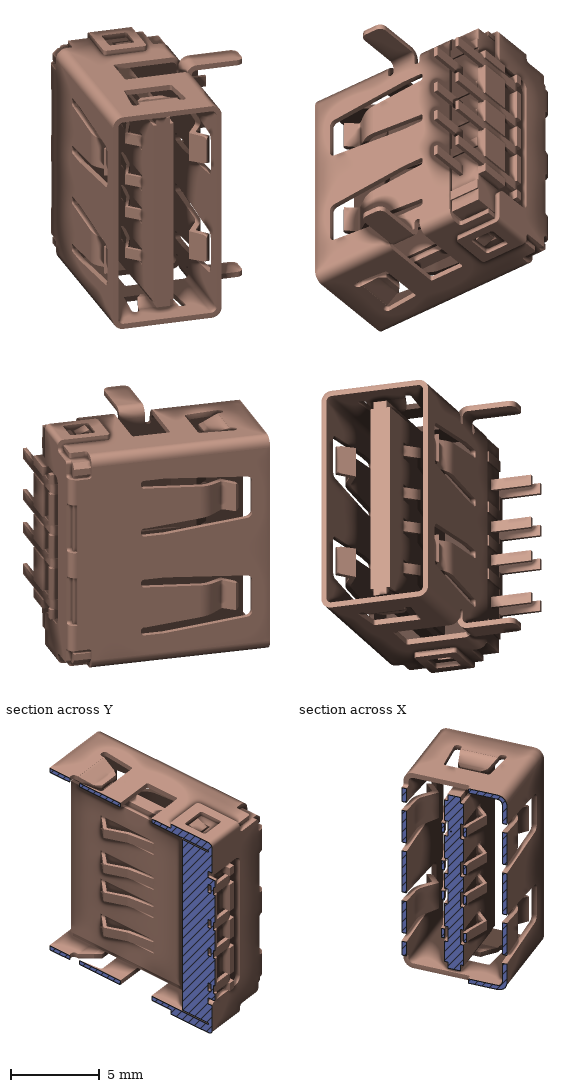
import cadquery as cq
import math

LENGTH = 12.0
HEIGHT = 9.5
WIDTH = 13.55
SHEET = 0.31

SHELL_TOP = 6.42
SHELL_HALF = WIDTH / 2 - SHEET
SHELL_START = 0.52
CORNER_R = 0.6
BOARD_NOTCH_END = 2.5
BOARD_NOTCH_Y = 5.43
SMALL_R = 0.12

RELIEF_END = 1.52
RELIEF_Y = 0.98
RELIEF_R = 0.18
RELIEF_HALF = 5.17

PLATE_REAR = 0.21
PLATE_HALF = 6.11
PLATE_BEND_R = 0.43
ARM_INNER_HALF = 4.49
ARM_BOTTOM = 2.27
ARM_TOP = 4.81
ARM_R = 0.42
FLAP_END = 3.28
FLAP_END_R = 0.18
FLAP_BEND_R = 0.3
PLATE_CORNER_Y = 0.63
PLATE_CORNER_HALF = 5.2
FLAP_NECK_R = 0.22
PLATE_CUT_R = 0.17
BEND_WINDOW_Z = (0.76, 3.66)
BEND_WINDOW_X = 0.70
BEND_WINDOW_Y = 0.53
FLAP_WINDOW_X = (1.1, 2.6)
FLAP_WINDOW_Y = (2.8, 4.3)
LATCH_HOLE_X = (1.56, 2.4)
LATCH_HOLE_Y = (3.28, 4.3)
WEDGE_X = (1.69, 2.36)
WEDGE_Y = (3.38, 4.15)
WEDGE_RISE = 0.28

TAB_WINDOW_X = (4.62, 6.85)
TAB_WINDOW_Y = 2.37
TAB_RELIEF_HALF = 5.85
TAB_X = (4.98, 6.48)
TAB_HALF = 6.625
TAB_RELIEF_R = 0.16
TAB_BEND_R = 0.6
TAB_END_R = 0.4

LANCE_SLOT_X = (8.34, 10.58)
LANCE_SLOT_HALF = (1.40, 1.61)
LANCE_MID_Y = 3.21
LANCE_HINGE_X = 10.23
LANCE_HINGE_R = 0.9
LANCE_BEND_R = 0.15
LANCE_SLOT_END_R = 0.2
LANCE_HINGE_HALF = 1.15
LANCE_BEND_X = 9.3
LANCE_BEND_HALF = 0.90
LANCE_TIP_X = 8.93
LANCE_TIP_HALF = 0.62
LANCE_DROP = 0.31

SPRING_Z = 3.0
SLOT_X = (4.41, 10.95)
SLOT_TAPER_X = 5.8
SLOT_HALF = (1.69, 1.23)
SLOT_END_R = 0.35
SLOT_LEG_R = 0.18
LEG_INNER_HALF = 1.21
LEG_TAPER_X = 4.75
LIP_HALF = 0.81
LIP_START_X = 9.37
LIP_END_X = 10.24
LIP_SHOULDER = 0.04
LIP_ANGLE = 43.0
CREST_R = 0.12
LIP_R = 0.2
SPRING_BEND_X = 7.9
SPRING_CURVE = 0.83
RAMP_ANGLE = 35.0

BASE_X = (0.52, 2.4)
BASE_TOP = 6.36
BASE_HALF = 6.09
BASE_EDGE_R = 0.15
STANDOFF_TOP = 6.46
STANDOFF_WIDTH = 0.62
STANDOFF_Z = (-5.0, -2.0, 0.0, 2.0, 5.0)
CORNER_BLOCK_Y = 0.1
CORNER_BLOCK_Z = 5.41
CORNER_CHAMFER = 0.3
COMB_Y = (4.57, 6.39)
COMB_HALF = 4.29
COMB_SLOT = 0.52
BAR_Y = (3.07, 3.44)
BAR_HALF = 4.37
MID_Y = 3.235
TONGUE_END = 11.2
TONGUE_THICK = 1.19
TONGUE_HALF = 5.77
RIDGE_HEIGHT = 0.4
RIDGE_INSET = 0.2
GROOVE_X = (5.2, 9.06)
GROOVE_WIDTH = 0.96
GROOVE_DEPTH = 0.2

PIN_Z = (-3.5, -1.0, 1.0, 3.5)
PIN_WIDTH = 0.62
PIN_THICK = 0.23
PIN_TIP = 8.77
REAR_ROW_X = 0.1
FRONT_ROW_X = 1.6
PIN_BEND_Y = 2.91
PIN_BEND_R = 0.62
CONTACT_KNEE = 1.7
CONTACT_KNEE_RISE = 0.22
CONTACT_PEAK_X = 8.25
CONTACT_RISE = 0.72
CONTACT_THICK = 0.2


def span_box(xs, ys, zs):
    """Box between the given (low, high) limits."""
    size = [high - low for low, high in (xs, ys, zs)]
    return cq.Workplane("XY").box(*size, centered=False).translate((xs[0], ys[0], zs[0]))


def round_edges(body, radius, *points):
    """Round the edges whose middles lie nearest to the points."""
    edges = []
    for point in points:
        edges += body.edges(cq.selectors.NearestToPointSelector(point)).vals()
    return body.newObject(edges).fillet(radius)


def both_sides(body):
    """The body together with its mirror image across the middle plane."""
    return body.union(body.mirror("XY"))


def front_and_board(body):
    """The body on the front wall together with its mirror image on the board-side wall."""
    return body.union(body.mirror("XZ", (0, SHELL_TOP / 2, 0)))


def plan_xy(points, z_low, z_high):
    """Outline in X, Y extruded from z_low to z_high."""
    outline = cq.Workplane("XY", origin=(0, 0, z_low)).polyline(points).close()
    return outline.extrude(z_high - z_low)


def plan_xz(points, y_high):
    """Outline in X, Z extruded from the outer front face up to y_high."""
    outline = cq.Workplane("XZ").polyline(points).close()
    return outline.extrude(-y_high)


def mirrored(points, middle):
    """Close a half outline of (x, offset) pairs symmetrically about the middle."""
    upper = [(x, middle + offset) for x, offset in points]
    lower = [(x, middle - offset) for x, offset in reversed(points)]
    return upper + lower


def make_tube():
    """Rounded sheet tube with its rear corner and board-side openings."""
    tube = span_box((SHELL_START, LENGTH), (0, SHELL_TOP), (-SHELL_HALF, SHELL_HALF))
    tube = tube.edges("|X").fillet(CORNER_R)
    inside = span_box((0, LENGTH), (SHEET, SHELL_TOP - SHEET), (SHEET - SHELL_HALF, SHELL_HALF - SHEET))
    tube = tube.cut(inside.edges("|X").fillet(CORNER_R - SHEET))
    board_notch = span_box((0, BOARD_NOTCH_END), (BOARD_NOTCH_Y, HEIGHT), (-WIDTH, WIDTH))
    tube = tube.cut(round_edges(board_notch, SMALL_R, (BOARD_NOTCH_END, BOARD_NOTCH_Y, 0)))
    front_relief = span_box((0, RELIEF_END), (-SHEET, SHEET + SMALL_R), (RELIEF_HALF, WIDTH))
    front_relief = front_relief.edges("|Y and >X and <Z").fillet(RELIEF_R)
    side_relief = span_box((0, RELIEF_END), (-SHEET, RELIEF_Y), (SHELL_HALF - CORNER_R, WIDTH))
    side_relief = side_relief.edges("|Z and >X and >Y").fillet(SMALL_R)
    tube = tube.cut(both_sides(front_relief.union(side_relief)))
    wall_mid = SHELL_HALF - SHEET / 2
    ends = [(SHELL_START, RELIEF_Y, side * wall_mid) for side in (-1, 1)]
    return round_edges(tube, SMALL_R, *ends)


def make_rear_plate():
    """Rear cover bent up from the front wall, with two arms."""
    xs = (PLATE_REAR, PLATE_REAR + SHEET)
    plate = span_box(xs, (0, ARM_BOTTOM), (-PLATE_HALF, PLATE_HALF))
    arm = span_box(xs, (ARM_BOTTOM, ARM_TOP), (ARM_INNER_HALF, PLATE_HALF))
    neck = span_box(xs, (ARM_BOTTOM, ARM_TOP), (PLATE_HALF, WIDTH / 2))
    plate = plate.union(both_sides(arm.union(neck))).clean()
    mid_x = PLATE_REAR + SHEET / 2
    for side in (-1, 1):
        inner = side * ARM_INNER_HALF
        plate = round_edges(plate, ARM_R, (mid_x, ARM_BOTTOM, inner), (mid_x, ARM_TOP, inner))
        plate = round_edges(plate, FLAP_NECK_R, (mid_x, ARM_BOTTOM, side * PLATE_HALF))
    foot = span_box((PLATE_REAR, BEND_WINDOW_X), (0, SHEET), (-RELIEF_HALF, RELIEF_HALF))
    corner = span_box((0, SHELL_START), (-SHEET, PLATE_CORNER_Y), (PLATE_CORNER_HALF, WIDTH))
    corner = round_edges(corner, PLATE_CUT_R, (SHELL_START / 2, PLATE_CORNER_Y, PLATE_CORNER_HALF))
    plate = plate.cut(both_sides(corner)).union(foot).clean()
    ends = [(mid_x, PLATE_CORNER_Y, side * PLATE_HALF) for side in (-1, 1)]
    return round_edges(plate, PLATE_CUT_R, *ends)


def make_flap():
    """Flap folded from an arm onto the outside of the tube, with a latch window."""
    flap = span_box((PLATE_REAR, FLAP_END), (ARM_BOTTOM, ARM_TOP), (SHELL_HALF, WIDTH / 2))
    flap = flap.edges("|Z and >X").fillet(FLAP_END_R)
    window = span_box(FLAP_WINDOW_X, FLAP_WINDOW_Y, (SHELL_HALF, WIDTH))
    return flap.cut(window.edges("|Z").fillet(SMALL_R))


def make_latch_hole():
    """Hole through the tube wall round the latch wedge."""
    return span_box(LATCH_HOLE_X, LATCH_HOLE_Y, (BASE_HALF, SHELL_HALF))


def make_latch():
    """Wedge on the side of the insulator that catches the flap window."""
    low, high = WEDGE_X
    root = BASE_HALF - SHEET
    outline = [(low, root), (high, root), (high, SHELL_HALF + WEDGE_RISE), (low, SHELL_HALF)]
    wedge = cq.Workplane("XZ").polyline(outline).close().extrude(WEDGE_Y[0] - WEDGE_Y[1])
    return wedge.translate((0, WEDGE_Y[0], 0))


def make_bend_window():
    """Slot through the bend between the front wall and the rear plate."""
    window = span_box((0, BEND_WINDOW_X), (-SHEET, BEND_WINDOW_Y), BEND_WINDOW_Z)
    return window.edges("|X and >Y").fillet(PLATE_CUT_R)


def make_tab_window():
    """Window through a side wall, reaching round the bend beside the tab."""
    window = span_box(TAB_WINDOW_X, (TAB_WINDOW_Y, SHELL_TOP - SHEET), (TAB_RELIEF_HALF, WIDTH))
    window = window.edges("|Z and <Y").fillet(SMALL_R)
    board_wall = (SHELL_TOP - 2 * SHEET, HEIGHT)
    for limits in ((TAB_WINDOW_X[0], TAB_X[0]), (TAB_X[1], TAB_WINDOW_X[1])):
        relief = span_box(limits, board_wall, (TAB_RELIEF_HALF - SHEET, WIDTH))
        window = window.union(relief.edges("|Y and <Z").fillet(TAB_RELIEF_R))
    above_tab = span_box(TAB_X, board_wall, (TAB_HALF - TAB_BEND_R, WIDTH))
    return window.union(above_tab)


def make_tab():
    """Board tab: runs in the board-side wall, then bends outward to the board."""
    wall_inner = SHELL_TOP - SHEET
    inner_r = TAB_BEND_R - SHEET
    bend_z = TAB_HALF - TAB_BEND_R
    bend_y = wall_inner + TAB_BEND_R
    diagonal = math.sqrt(0.5)
    start_z = TAB_RELIEF_HALF - SHEET
    profile = cq.Workplane("YZ", origin=(TAB_X[0], 0, 0)).moveTo(wall_inner, start_z)
    profile = profile.lineTo(wall_inner, bend_z)
    profile = profile.threePointArc(
        (bend_y - TAB_BEND_R * diagonal, bend_z + TAB_BEND_R * diagonal), (bend_y, TAB_HALF))
    profile = profile.lineTo(HEIGHT, TAB_HALF).lineTo(HEIGHT, TAB_HALF - SHEET)
    profile = profile.lineTo(bend_y, TAB_HALF - SHEET)
    profile = profile.threePointArc(
        (bend_y - inner_r * diagonal, bend_z + inner_r * diagonal), (SHELL_TOP, bend_z))
    tab = profile.lineTo(SHELL_TOP, start_z).close().extrude(TAB_X[1] - TAB_X[0])
    return tab.edges("|Z and >Y").fillet(TAB_END_R)


def make_lance_slot():
    """Tapered opening round a side lance."""
    half = [(LANCE_SLOT_X[0], LANCE_SLOT_HALF[0]), (LANCE_SLOT_X[1], LANCE_SLOT_HALF[1])]
    root = [(LANCE_SLOT_X[1], LANCE_HINGE_HALF), (LANCE_HINGE_X, LANCE_HINGE_HALF)]
    slot = plan_xy(mirrored(half + root, LANCE_MID_Y), SHELL_HALF - CORNER_R, WIDTH)
    slot = slot.edges("|Z and <X").fillet(SMALL_R)
    return slot.edges("|Z and >X").fillet(LANCE_SLOT_END_R)


def make_lance():
    """Side lance sloping inward to a flat lip."""
    drop = SHELL_HALF - LANCE_DROP
    root_x = LANCE_SLOT_X[1]
    side = [(root_x, SHELL_HALF), (LANCE_HINGE_X, SHELL_HALF), (LANCE_BEND_X, drop), (LANCE_TIP_X, drop)]
    lower = [(x, z - SHEET) for x, z in reversed(side)]
    strip = cq.Workplane("XZ").polyline(side + lower).close().extrude(-SHELL_TOP)
    strip = round_edges(strip, LANCE_HINGE_R, (LANCE_HINGE_X, SHELL_TOP / 2, SHELL_HALF))
    strip = round_edges(strip, LANCE_BEND_R, (LANCE_BEND_X, SHELL_TOP / 2, drop))
    half = [(LANCE_TIP_X, LANCE_TIP_HALF), (LANCE_BEND_X, LANCE_BEND_HALF),
            (LANCE_HINGE_X, LANCE_HINGE_HALF), (root_x, LANCE_HINGE_HALF)]
    return strip.intersect(plan_xy(mirrored(half, LANCE_MID_Y), 0, WIDTH))


def make_spring_outline():
    """Tapered outline of a front wall spring, extruded through the part."""
    half = [(SLOT_X[0], LEG_INNER_HALF), (LEG_TAPER_X, LEG_INNER_HALF),
            (LIP_START_X, LIP_HALF + LIP_SHOULDER), (LIP_END_X, LIP_HALF)]
    outline = plan_xz(mirrored(half, SPRING_Z), SHELL_TOP)
    return outline.edges("|Y and >X").fillet(LIP_R)


def make_spring_slot():
    """U-shaped slot round a spring, with the bent stretch of the spring opened too."""
    half = [(SLOT_X[0], SLOT_HALF[0]), (SLOT_TAPER_X, SLOT_HALF[0]), (SLOT_X[1], SLOT_HALF[1])]
    opening = plan_xz(mirrored(half, SPRING_Z), SHEET)
    opening = opening.edges("|Y and >X").fillet(SLOT_END_R)
    slot = opening.cut(make_spring_outline()).edges("|Y and <X").fillet(SLOT_LEG_R)
    bent_part = span_box((SPRING_BEND_X, SLOT_X[1]), (0, SHEET), (0, WIDTH / 2))
    return slot.union(bent_part.intersect(make_spring_outline()))


def make_spring():
    """Front wall spring: flat, curving inward to a straight ramp, then a lip turned back out."""
    ramp = math.radians(RAMP_ANGLE)
    lip = math.radians(LIP_ANGLE)
    bend_r = SPRING_CURVE / math.sin(ramp)
    inner_r = bend_r - SHEET
    crest_x = LIP_START_X
    curve_end = SPRING_BEND_X + SPRING_CURVE
    curve_drop = bend_r * (1 - math.cos(ramp))
    crest_y = curve_drop + (crest_x - curve_end) * math.tan(ramp)
    lip_end_x = LIP_END_X - SHEET * math.sin(lip)
    lip_end = (lip_end_x, crest_y - (lip_end_x - crest_x) * math.tan(lip))
    lip_inner = (LIP_END_X, lip_end[1] + SHEET * math.cos(lip))
    half_turn = (ramp - lip) / 2
    miter = SHEET / math.cos((ramp + lip) / 2)
    crest_inner = (crest_x - miter * math.sin(half_turn), crest_y + miter * math.cos(half_turn))

    def bend_point(radius, angle):
        return (SPRING_BEND_X + radius * math.sin(angle), bend_r - radius * math.cos(angle))

    strip = cq.Workplane("XY").moveTo(SLOT_X[0], 0).lineTo(SPRING_BEND_X, 0)
    strip = strip.threePointArc(bend_point(bend_r, ramp / 2), bend_point(bend_r, ramp))
    strip = strip.lineTo(crest_x, crest_y).lineTo(*lip_end).lineTo(*lip_inner).lineTo(*crest_inner)
    strip = strip.lineTo(*bend_point(inner_r, ramp))
    strip = strip.threePointArc(bend_point(inner_r, ramp / 2), (SPRING_BEND_X, SHEET))
    strip = strip.lineTo(SLOT_X[0], SHEET).close().extrude(WIDTH / 2)
    strip = round_edges(strip, CREST_R, (crest_x, crest_y, WIDTH / 4))
    return strip.intersect(make_spring_outline())


def make_insulator():
    """Plastic base with standoffs, corner blocks, pin comb, bar and tongue."""
    base = span_box(BASE_X, (SHEET, BASE_TOP), (-BASE_HALF, BASE_HALF))
    base = base.edges("|X and <Y").fillet(BASE_EDGE_R)
    for z in STANDOFF_Z:
        limits = (z - STANDOFF_WIDTH / 2, z + STANDOFF_WIDTH / 2)
        base = base.union(span_box(BASE_X, (BASE_TOP - SHEET, STANDOFF_TOP), limits))
    block = span_box((BASE_X[0], RELIEF_END), (CORNER_BLOCK_Y, RELIEF_Y), (CORNER_BLOCK_Z, BASE_HALF))
    base = base.union(both_sides(block.edges("|X and <Y and >Z").chamfer(CORNER_CHAMFER)))
    comb = span_box((0, BASE_X[0]), COMB_Y, (-COMB_HALF, COMB_HALF))
    bar = span_box((0, BASE_X[0]), BAR_Y, (-BAR_HALF, BAR_HALF))
    for z in PIN_Z:
        comb = comb.cut(span_box((0, BASE_X[0]), COMB_Y, (z - COMB_SLOT / 2, z + COMB_SLOT / 2)))
        bar = bar.cut(span_box((0, BASE_X[0]), BAR_Y, (z - PIN_WIDTH / 2, z + PIN_WIDTH / 2)))
    return base.union(comb).union(bar).union(make_tongue())


def make_tongue():
    """Flat contact carrier with ridged side edges and a shallow groove behind every contact."""
    faces = (MID_Y - TONGUE_THICK / 2, MID_Y + TONGUE_THICK / 2)
    length = (BASE_X[1], TONGUE_END)
    core_half = TONGUE_HALF - RIDGE_HEIGHT
    tongue = span_box(length, faces, (-core_half, core_half))
    ridge = (faces[0] + RIDGE_INSET, faces[1] - RIDGE_INSET)
    tongue = tongue.union(span_box(length, ridge, (-TONGUE_HALF, TONGUE_HALF)))
    for z in PIN_Z:
        limits = (z - GROOVE_WIDTH / 2, z + GROOVE_WIDTH / 2)
        tongue = tongue.cut(span_box(GROOVE_X, (faces[0], faces[0] + GROOVE_DEPTH), limits))
        tongue = tongue.cut(span_box(GROOVE_X, (faces[1] - GROOVE_DEPTH, faces[1]), limits))
    return tongue


def make_pins(z):
    """One rear-row pin bent into the base and one straight front-row pin."""
    limits = (z - PIN_WIDTH / 2, z + PIN_WIDTH / 2)
    rear = span_box((REAR_ROW_X, BASE_X[1]), (PIN_BEND_Y, PIN_TIP), limits)
    rear = rear.edges("|Z and <X and <Y").fillet(PIN_BEND_R)
    inner_x = REAR_ROW_X + PIN_THICK
    inner_y = PIN_BEND_Y + PIN_THICK
    hollow = span_box((inner_x, LENGTH), (inner_y, HEIGHT), limits)
    rear = rear.cut(hollow.edges("|Z and <X and <Y").fillet(PIN_BEND_R - PIN_THICK))
    front = span_box((FRONT_ROW_X, FRONT_ROW_X + PIN_THICK), (COMB_Y[0], PIN_TIP), limits)
    return rear.union(front)


def make_contacts(z):
    """Pair of bowed contacts, one on each face of the tongue."""
    face = MID_Y - TONGUE_THICK / 2
    start_x = GROOVE_X[0]
    knee_x = start_x + CONTACT_KNEE
    knee_y = face - CONTACT_KNEE_RISE
    peak_y = face - CONTACT_RISE
    end_x = CONTACT_PEAK_X + CONTACT_RISE + GROOVE_DEPTH
    end_y = face + GROOVE_DEPTH
    inner_end_x = end_x - CONTACT_THICK * math.sqrt(2)
    inner_peak_y = peak_y + CONTACT_THICK
    inner_peak_x = inner_end_x - (end_y - inner_peak_y)
    path = [(start_x, face), (knee_x, knee_y), (CONTACT_PEAK_X, peak_y), (end_x, end_y)]
    inner = [(inner_end_x, end_y), (inner_peak_x, inner_peak_y),
             (knee_x, knee_y + CONTACT_THICK), (start_x, face + CONTACT_THICK)]
    bow = plan_xy(path + inner, z - PIN_WIDTH / 2, z + PIN_WIDTH / 2)
    return bow.union(bow.mirror("XZ", (0, MID_Y, 0)))


shell = make_tube().union(make_rear_plate()).clean()
shell = round_edges(shell, PLATE_BEND_R, (PLATE_REAR, 0, 0))
shell = shell.cut(both_sides(make_bend_window()))
shell = shell.cut(both_sides(make_tab_window())).union(both_sides(make_tab()))
shell = shell.cut(both_sides(make_lance_slot())).union(both_sides(make_lance()))
shell = shell.cut(front_and_board(both_sides(make_spring_slot())))
shell = shell.union(front_and_board(both_sides(make_spring())))
shell = shell.cut(both_sides(make_latch_hole())).union(both_sides(make_flap()))
arm_mid_y = (ARM_BOTTOM + ARM_TOP) / 2
flap_folds = [(PLATE_REAR, arm_mid_y, side * WIDTH / 2) for side in (-1, 1)]
shell = round_edges(shell, FLAP_BEND_R, *flap_folds)

result = shell.union(make_insulator()).union(both_sides(make_latch()))
for pin_z in PIN_Z:
    result = result.union(make_pins(pin_z)).union(make_contacts(pin_z))